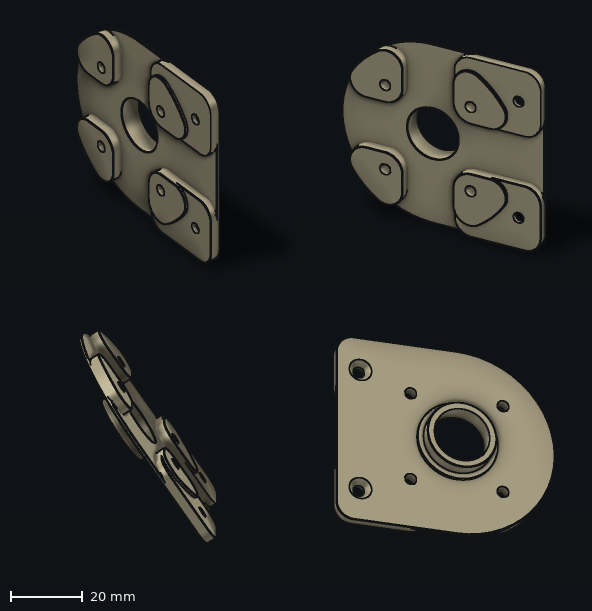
import cadquery as cq
import math

plate_radius = 28.5
plate_right = 35.0
plate_thickness = 1.0
corner_radius = 5.0
edge_chamfer = 0.2
chamfer_angle = 45

flange_radius = 11.6
flange_height = 1.0
hub_radius = 10.05
hub_height = 5.0
bore_radius = 8.0

pad_inner = 7.95
pad_inner_radius = 5.65
pad_outer_radius = 5.1
pad_height = 4.0
base_height = 3.2
foot_fillet = 0.2

screw_radius = 1.65
screw_offset = 13.4
outer_screw_x = 28.0
outer_screw_z = 18.5
outer_screw_radius = 1.6
countersink_depth = 1.65


def front_sketch(depth):
    """Sketch plane facing the front, the given depth in front of the plate's back face."""
    return cq.Workplane("XZ", origin=(0, -depth, 0))


def make_plate():
    plate = (
        front_sketch(0)
        .moveTo(0, plate_radius)
        .lineTo(plate_right, plate_radius)
        .lineTo(plate_right, -plate_radius)
        .lineTo(0, -plate_radius)
        .threePointArc((-plate_radius, 0), (0, plate_radius))
        .close()
        .extrude(plate_thickness)
    )
    plate = plate.edges("|Y and >X").fillet(corner_radius)
    return plate.faces("<Y or >Y").chamfer(edge_chamfer)


def make_hub():
    flange = cq.Workplane("XZ").circle(flange_radius).extrude(-flange_height)
    hub = cq.Workplane("XZ").circle(hub_radius).extrude(-hub_height)
    return flange.union(hub.faces(">Y").chamfer(edge_chamfer))


def round_inner_corner(block):
    """Round the upright edge of a block that stands nearest the bore."""
    inner_corner = cq.selectors.NearestToPointSelector((pad_inner, -plate_thickness, pad_inner))
    return block.edges("|Y").edges(inner_corner).fillet(pad_inner_radius)


def make_upper_right_pad():
    """Square-cornered inside, bounded outside by the plate's circle, all corners rounded."""
    corner = math.sqrt(plate_radius**2 - pad_inner**2)
    middle = plate_radius * math.sqrt(0.5)
    pad = (
        front_sketch(edge_chamfer)
        .moveTo(pad_inner, pad_inner)
        .lineTo(corner, pad_inner)
        .threePointArc((middle, middle), (pad_inner, corner))
        .close()
        .extrude(pad_height - edge_chamfer)
    )
    pad = pad.edges("|Y and (>X or >Z)").fillet(pad_outer_radius)
    pad = round_inner_corner(pad)
    return pad.faces("<Y").chamfer(edge_chamfer)


def make_upper_base():
    """Raised corner of the plate that carries the upper right pad."""
    base = (
        front_sketch(edge_chamfer)
        .moveTo(pad_inner, pad_inner)
        .lineTo(plate_right, pad_inner)
        .lineTo(plate_right, plate_radius)
        .lineTo(pad_inner, plate_radius)
        .close()
        .extrude(base_height - edge_chamfer)
    )
    base = base.edges("|Y and (>X or >Z)").fillet(corner_radius)
    return round_inner_corner(base)


def fillet_pad_feet(body):
    """Round the foot of every raised side that stands inside the plate's outline."""
    front_face = body.faces(cq.selectors.NearestToPointSelector((0, -plate_thickness, 0)))
    outline_margin = 2 * edge_chamfer
    foot_edges = []
    for edge in front_face.edges().vals():
        middle = edge.positionAt(0.5)
        from_side = plate_radius - (abs(middle.z) if middle.x > 0 else math.hypot(middle.x, middle.z))
        if min(from_side, plate_right - middle.x) > outline_margin:
            foot_edges.append(edge)
    return body.newObject(foot_edges).fillet(foot_fillet)


def make_bore():
    """Through bore with a 45 degree chamfer at its front mouth."""
    mouth_radius = bore_radius + edge_chamfer
    bore = front_sketch(plate_thickness).circle(bore_radius).extrude(-plate_thickness - hub_height)
    mouth = front_sketch(plate_thickness).circle(mouth_radius).extrude(-edge_chamfer, taper=chamfer_angle)
    return bore.union(mouth)


def make_screw_holes():
    inner_places = [(x * screw_offset, z * screw_offset) for x in (-1, 1) for z in (-1, 1)]
    outer_places = [(outer_screw_x, z * outer_screw_z) for z in (-1, 1)]
    inner = front_sketch(0).pushPoints(inner_places).circle(screw_radius).extrude(pad_height)
    outer = front_sketch(0).pushPoints(outer_places).circle(outer_screw_radius).extrude(base_height)
    return inner.union(outer)


def make_countersinks():
    """90 degree countersinks in the plate's back, narrowing to the outer screw holes."""
    back_radius = outer_screw_radius + countersink_depth
    upper_cone = front_sketch(0).center(outer_screw_x, outer_screw_z).circle(back_radius)
    upper_cone = upper_cone.extrude(countersink_depth, taper=chamfer_angle)
    return upper_cone.union(upper_cone.mirror("XY"))


upper_right_pad = make_upper_right_pad()
upper_left_pad = upper_right_pad.mirror("YZ")
upper_base = make_upper_base()
lower_base = upper_base.mirror("XY").faces("<Y").chamfer(edge_chamfer)

result = make_plate().union(upper_left_pad).union(upper_left_pad.mirror("XY"))
result = fillet_pad_feet(result.union(upper_base).union(lower_base))
result = result.union(upper_right_pad).union(upper_right_pad.mirror("XY"))
result = result.union(make_hub()).cut(make_bore())
result = result.cut(make_screw_holes()).cut(make_countersinks())